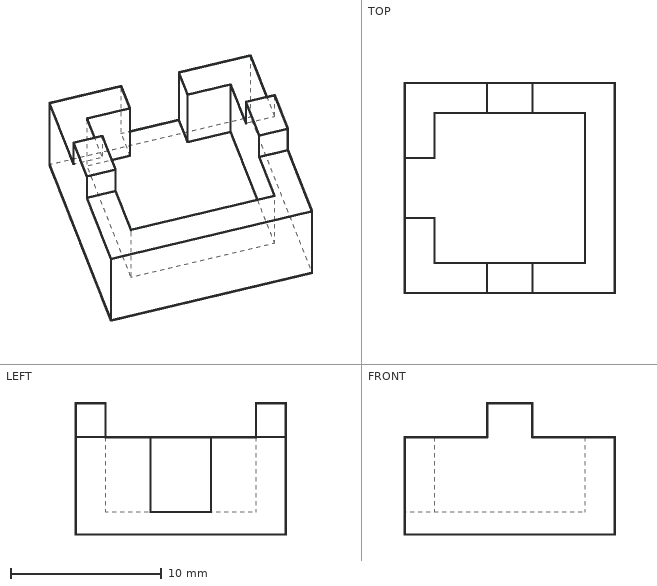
import cadquery as cq

side = 14.0
wall = 2.0
floor = 1.5
rim_height = 6.5
total_height = 8.75

opening_width = 4.0
tab_width = 3.02

cavity_side = side - 2 * wall
cavity_depth = rim_height - floor
tab_height = total_height - rim_height
wall_center = (side - wall) / 2


def block(length, width, height, center_x, center_y, bottom):
    """Box centred at (center_x, center_y), standing on the given level."""
    box = cq.Workplane("XY").box(length, width, height, centered=(True, True, False))
    return box.translate((center_x, center_y, bottom))


tray = block(side, side, rim_height, 0, 0, 0)
tray = tray.cut(block(cavity_side, cavity_side, cavity_depth, 0, 0, floor))

tray = tray.cut(block(wall, opening_width, cavity_depth, -wall_center, 0, floor))

for y_sign in (-1, 1):
    tray = tray.union(block(tab_width, wall, tab_height, 0, y_sign * wall_center, rim_height))

result = tray